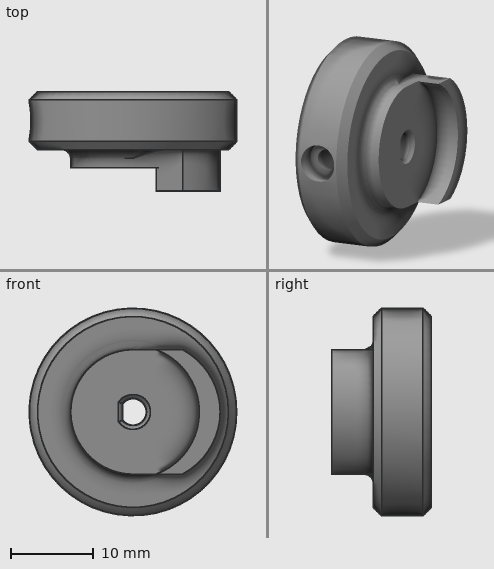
import cadquery as cq
import math

disc_radius = 12.5
disc_thickness = 7
disc_chamfer = 1

hub_radius = 7.5
hub_height = 2.2
hub_fillet = 1
hub_face = disc_thickness + hub_height

lug_face = 12
lug_arc_center = 2
lug_arc_radius = 8.5
lug_recess_radius = 8
lug_corner_x = lug_arc_center + math.sqrt(lug_arc_radius**2 - hub_radius**2)

bore_radius = 1.6
bore_flat = 1.25
bore_chamfer = 0.5

screw_height = disc_thickness / 2
screw_radius = 1.25
screw_head_radius = 2.25
screw_head_depth = 2.5


def front_plane(height):
    """Plane facing -Y at the given height above the back face."""
    return cq.Workplane("XZ", origin=(0, -height, 0))


def make_disc():
    disc = front_plane(0).circle(disc_radius).extrude(disc_thickness)
    return disc.edges().chamfer(disc_chamfer)


def make_hub():
    """Hub with a concave fillet flaring out onto the disc."""
    flare_radius = hub_radius + hub_fillet
    flare_top = disc_thickness + hub_fillet
    arc_offset = hub_fillet * math.sqrt(0.5)
    arc_middle = (flare_radius - arc_offset, -flare_top + arc_offset)
    profile = (
        cq.Workplane("XY")
        .moveTo(0, -disc_thickness)
        .lineTo(flare_radius, -disc_thickness)
        .threePointArc(arc_middle, (hub_radius, -flare_top))
        .lineTo(hub_radius, -hub_face)
        .lineTo(0, -hub_face)
        .close()
    )
    return profile.revolve(360, (0, 0, 0), (0, 1, 0))


def make_lug():
    """Cam lug, hollowed above the hub face by a concentric recess."""
    lug = (
        front_plane(disc_thickness)
        .moveTo(0, hub_radius)
        .lineTo(lug_corner_x, hub_radius)
        .threePointArc((lug_arc_center + lug_arc_radius, 0), (lug_corner_x, -hub_radius))
        .lineTo(0, -hub_radius)
        .close()
        .extrude(lug_face - disc_thickness)
    )
    recess = front_plane(hub_face).circle(lug_recess_radius).extrude(lug_face - hub_face)
    return lug.cut(recess)


def d_outline(plane, growth):
    """D-shaped bore outline with every side moved outward by growth."""
    radius = bore_radius + growth
    flat_x = -bore_flat - growth
    flat_z = math.sqrt(radius**2 - flat_x**2)
    return plane.moveTo(flat_x, -flat_z).threePointArc((radius, 0), (flat_x, flat_z)).close()


def make_bore():
    bore = d_outline(front_plane(0), 0).extrude(hub_face)
    chamfer_start = d_outline(front_plane(hub_face - bore_chamfer), 0)
    chamfer = d_outline(chamfer_start.workplane(offset=bore_chamfer), bore_chamfer).loft(ruled=True)
    return bore.union(chamfer)


def make_screw_hole():
    entry = cq.Workplane("YZ", origin=(-disc_radius, -screw_height, 0))
    hole = entry.circle(screw_radius).extrude(disc_radius)
    head = entry.circle(screw_head_radius).extrude(screw_head_depth)
    return hole.union(head)


result = make_disc().union(make_hub()).union(make_lug()).cut(make_bore()).cut(make_screw_hole())